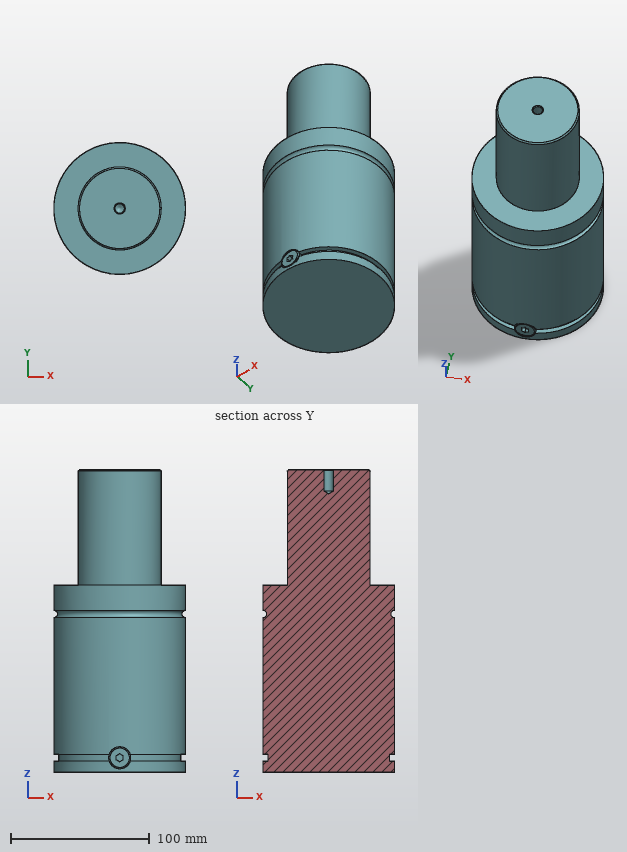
import cadquery as cq
import math

total_height = 218.0
body_diameter = 95.0
body_height = 134.7
rod_diameter = 60.0
rod_chamfer = 1.0

round_groove_z = 114.0
round_groove_radius = 2.6

base_groove_bottom = 8.0
base_groove_top = 12.9
base_groove_depth = 3.5

rod_hole_diameter = 6.8
rod_hole_mouth_diameter = 8.0
rod_hole_depth = 15.3
drill_tip_angle = 118.0

plug_z = 10.5
plug_diameter = 16.0
plug_face_diameter = 14.0
plug_recess = 0.2
plug_length = 13.0
hex_across_flats = 5.0
hex_depth = 4.4

body_radius = body_diameter / 2
rod_radius = rod_diameter / 2


def make_cylinder():
    """Revolve the body and rod, with both grooves, about Z."""
    base_groove_radius = body_radius - base_groove_depth
    return (
        cq.Workplane("XZ")
        .lineTo(body_radius, 0)
        .lineTo(body_radius, base_groove_bottom)
        .lineTo(base_groove_radius, base_groove_bottom)
        .lineTo(base_groove_radius, base_groove_top)
        .lineTo(body_radius, base_groove_top)
        .lineTo(body_radius, round_groove_z - round_groove_radius)
        .threePointArc(
            (body_radius - round_groove_radius, round_groove_z),
            (body_radius, round_groove_z + round_groove_radius),
        )
        .lineTo(body_radius, body_height)
        .lineTo(rod_radius, body_height)
        .lineTo(rod_radius, total_height - rod_chamfer)
        .lineTo(rod_radius - rod_chamfer, total_height)
        .lineTo(0, total_height)
        .close()
        .revolve(360, (0, 0, 0), (0, 1, 0))
    )


def make_rod_hole():
    """Blind hole with a 45 degree countersink and a conical drill tip."""
    hole_radius = rod_hole_diameter / 2
    mouth_radius = rod_hole_mouth_diameter / 2
    countersink_depth = mouth_radius - hole_radius
    hole_bottom = total_height - rod_hole_depth
    tip_length = hole_radius / math.tan(math.radians(drill_tip_angle / 2))
    return (
        cq.Workplane("XZ")
        .moveTo(0, total_height)
        .lineTo(mouth_radius, total_height)
        .lineTo(hole_radius, total_height - countersink_depth)
        .lineTo(hole_radius, hole_bottom)
        .lineTo(0, hole_bottom - tip_length)
        .close()
        .revolve(360, (0, 0, 0), (0, 1, 0))
    )


def plug_plane(distance):
    """Workplane facing -Y on the plug axis, at a distance from the Z axis."""
    return cq.Workplane("XZ", origin=(0, -distance, plug_z))


def make_plug():
    """Chamfered round plug with a hexagonal socket, its points up and down."""
    face_distance = body_radius - plug_recess
    chamfer = (plug_diameter - plug_face_diameter) / 2
    hex_corner_diameter = hex_across_flats / math.cos(math.pi / 6)
    plug = (
        plug_plane(face_distance)
        .circle(plug_diameter / 2)
        .extrude(-plug_length)
        .faces("<Y")
        .chamfer(chamfer)
    )
    socket = (
        plug_plane(face_distance)
        .transformed(rotate=(0, 0, 90))
        .polygon(6, hex_corner_diameter)
        .extrude(-hex_depth)
    )
    return plug.cut(socket)


plug_bore = (
    plug_plane(body_radius)
    .circle(plug_diameter / 2)
    .extrude(-(plug_length + plug_recess))
)

result = make_cylinder().cut(make_rod_hole()).cut(plug_bore).union(make_plug())